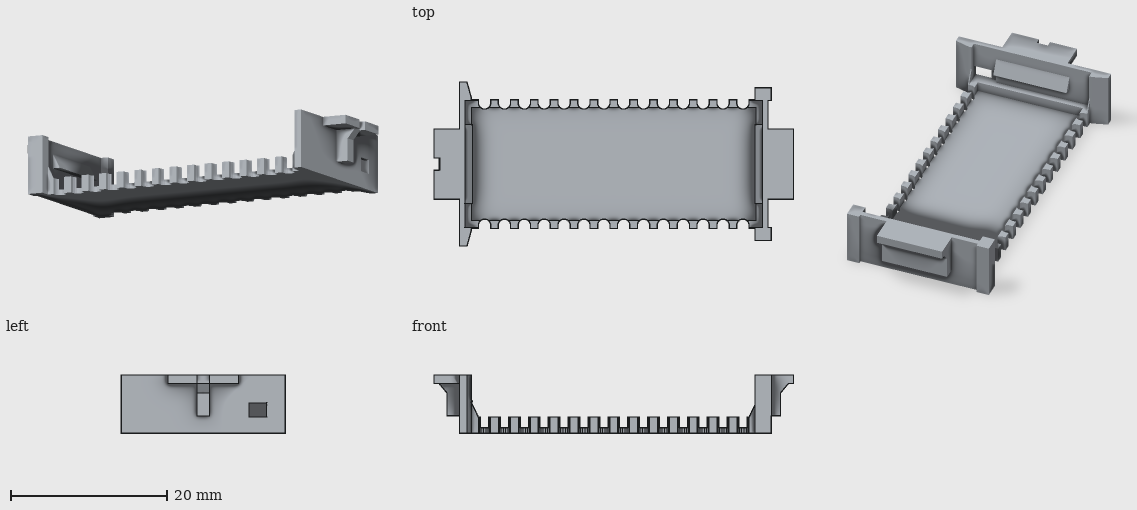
import cadquery as cq
import math

TOTAL_LENGTH = 46.0
TOTAL_WIDTH = 21.0
HEIGHT = 7.48
LEFT_TIP_X = -TOTAL_LENGTH / 2
RIGHT_TIP_X = LEFT_TIP_X + TOTAL_LENGTH

TRAY_HALF_WIDTH = 8.25
FLOOR_THICKNESS = 0.72
RIM_HEIGHT = 2.1
RIM_INNER_X = 18.2
RIM_INNER_Y = 7.24

SLOT_PITCH = 2.54
SLOTS_PER_SIDE = 14
TOOTH_WIDTH = 1.0
SLOT_WIDTH = SLOT_PITCH - TOOTH_WIDTH
SLOT_BOTTOM_Y = 7.05
SLOT_BOTTOM_FACETS = 8

WALL_THICKNESS = 0.7
WALL_INNER_X = 19.03
WALL_OUTER_X = WALL_INNER_X + WALL_THICKNESS
POST_INNER_Y = 8.1

LEFT_POST_INNER_X = -18.2
LEFT_POST_END_WIDTH = 0.98
LEFT_POST_TAPER_START_Y = 8.5

RIGHT_POST_INNER_X = 18.05
RIGHT_POST_OUTER_X = 20.15
RIGHT_POST_OUTER_Y = 9.78

GUSSET_FOOT_X = RIM_INNER_X - 0.9
GUSSET_TOP_X = RIM_INNER_X
GUSSET_TOP_Z = 3.95

WEDGE_HALF_WIDTH = 5.05
WEDGE_DEPTH = 1.0
WEDGE_BOTTOM_Z = 4.0
WEDGE_TOP_Z = 5.85

TAB_WIDTH = 9.0
TAB_THICKNESS = 1.12
TAB_BOTTOM_Z = HEIGHT - TAB_THICKNESS
RIB_WIDTH = 1.54
RIB_BOTTOM_Z = 2.25
RIB_PROJECTION = 1.6
RIB_CHAMFER_REACH = 1.0
RIB_CHAMFER_DROP = 1.2
TAB_NOTCH_DEPTH = 0.76

WINDOW_Y_MIN = -8.1
WINDOW_Y_MAX = -5.86
WINDOW_Z_MAX = 3.9
WINDOW_LIP_THICKNESS = 0.25


def block(x_min, x_max, y_min, y_max, z_min, z_max):
    size = (x_max - x_min, y_max - y_min, z_max - z_min)
    return cq.Workplane("XY").box(*size, centered=False).translate((x_min, y_min, z_min))


def extrude_along_y(profile, y_min, y_max):
    """Extrude a closed XZ profile between two Y positions."""
    return profile.extrude(y_min - y_max).translate((0, y_min, 0))


def make_tray():
    tray = block(
        -WALL_INNER_X, WALL_INNER_X, -TRAY_HALF_WIDTH, TRAY_HALF_WIDTH, 0, RIM_HEIGHT
    )
    pocket = block(
        -RIM_INNER_X, RIM_INNER_X, -RIM_INNER_Y, RIM_INNER_Y, FLOOR_THICKNESS, RIM_HEIGHT
    )
    return tray.cut(pocket)


def make_lead_slots():
    """Slots with a faceted, nearly round bottom, open to the outer side of both long rims."""
    half_slot = SLOT_WIDTH / 2
    facet_angle = math.pi / SLOT_BOTTOM_FACETS
    corner_radius = half_slot / math.cos(facet_angle / 2)
    centre_y = SLOT_BOTTOM_Y + half_slot
    outline = [(-half_slot, TRAY_HALF_WIDTH)]
    for facet in range(SLOT_BOTTOM_FACETS):
        angle = math.pi + (facet + 0.5) * facet_angle
        corner_x = corner_radius * math.cos(angle)
        corner_y = centre_y + corner_radius * math.sin(angle)
        outline.append((corner_x, corner_y))
    outline.append((half_slot, TRAY_HALF_WIDTH))
    slot = cq.Workplane("XY").polyline(outline).close().extrude(RIM_HEIGHT)
    slot_pair = slot.union(slot.mirror("XZ"))
    slots = cq.Workplane("XY")
    for index in range(SLOTS_PER_SIDE):
        slot_x = (index - (SLOTS_PER_SIDE - 1) / 2) * SLOT_PITCH
        slots = slots.add(slot_pair.translate((slot_x, 0, 0)))
    return slots.combine()


def make_left_wall():
    half_width = TOTAL_WIDTH / 2
    wall = block(-WALL_OUTER_X, -WALL_INNER_X, -half_width, half_width, 0, HEIGHT)
    post = (
        cq.Workplane("XY")
        .moveTo(-WALL_OUTER_X, POST_INNER_Y)
        .lineTo(LEFT_POST_INNER_X, POST_INNER_Y)
        .lineTo(LEFT_POST_INNER_X, LEFT_POST_TAPER_START_Y)
        .lineTo(-WALL_OUTER_X + LEFT_POST_END_WIDTH, half_width)
        .lineTo(-WALL_OUTER_X, half_width)
        .close()
        .extrude(HEIGHT)
    )
    window = block(
        -WALL_OUTER_X, -WALL_INNER_X, WINDOW_Y_MIN, WINDOW_Y_MAX, RIM_HEIGHT, WINDOW_Z_MAX
    )
    relief = block(
        -WALL_OUTER_X + WINDOW_LIP_THICKNESS,
        -WALL_INNER_X,
        WINDOW_Y_MIN,
        -WEDGE_HALF_WIDTH,
        RIM_HEIGHT,
        WINDOW_Z_MAX,
    )
    return wall.cut(window).cut(relief).union(post).union(post.mirror("XZ"))


def make_right_wall():
    wall = block(WALL_INNER_X, WALL_OUTER_X, -POST_INNER_Y, POST_INNER_Y, 0, HEIGHT)
    post = block(
        RIGHT_POST_INNER_X, RIGHT_POST_OUTER_X, POST_INNER_Y, RIGHT_POST_OUTER_Y, 0, HEIGHT
    )
    return wall.union(post).union(post.mirror("XZ"))


def make_gussets():
    """Four gussets, one at each tray corner."""
    profile = cq.Workplane("XZ").polyline(
        [
            (GUSSET_FOOT_X, RIM_HEIGHT),
            (GUSSET_TOP_X, GUSSET_TOP_Z),
            (WALL_INNER_X, GUSSET_TOP_Z),
            (WALL_INNER_X, RIM_HEIGHT),
        ]
    ).close()
    gusset = extrude_along_y(profile, POST_INNER_Y, TRAY_HALF_WIDTH)
    right_pair = gusset.union(gusset.mirror("XZ"))
    return right_pair.union(right_pair.mirror("YZ"))


def make_wedges():
    """Flat-bottomed wedges that slope back to the wall towards the top."""
    profile = cq.Workplane("XZ").polyline(
        [
            (WALL_INNER_X, WEDGE_BOTTOM_Z),
            (WALL_INNER_X - WEDGE_DEPTH, WEDGE_BOTTOM_Z),
            (WALL_INNER_X, WEDGE_TOP_Z),
        ]
    ).close()
    wedge = extrude_along_y(profile, -WEDGE_HALF_WIDTH, WEDGE_HALF_WIDTH)
    return wedge.union(wedge.mirror("YZ"))


def make_rib(width):
    """Rib below the right-hand tab, spreading into the tab with a sloped face."""
    rib_x = WALL_OUTER_X + RIB_PROJECTION
    profile = (
        cq.Workplane("XZ")
        .moveTo(WALL_OUTER_X, RIB_BOTTOM_Z)
        .lineTo(rib_x, RIB_BOTTOM_Z)
        .lineTo(rib_x, TAB_BOTTOM_Z - RIB_CHAMFER_DROP)
        .lineTo(rib_x + RIB_CHAMFER_REACH, TAB_BOTTOM_Z)
        .lineTo(WALL_OUTER_X, TAB_BOTTOM_Z)
        .close()
    )
    return extrude_along_y(profile, -width / 2, width / 2)


def make_left_tab():
    """Notched tab carried by a narrow central rib."""
    half_width = TAB_WIDTH / 2
    half_notch = RIB_WIDTH / 2
    tab = block(LEFT_TIP_X, -WALL_OUTER_X, -half_width, half_width, TAB_BOTTOM_Z, HEIGHT)
    notch = block(
        LEFT_TIP_X, LEFT_TIP_X + TAB_NOTCH_DEPTH, -half_notch, half_notch, TAB_BOTTOM_Z, HEIGHT
    )
    return tab.cut(notch).union(make_rib(RIB_WIDTH).mirror("YZ"))


def make_right_tab():
    """Plain tab carried by a rib of the same width."""
    half_width = TAB_WIDTH / 2
    tab = block(WALL_OUTER_X, RIGHT_TIP_X, -half_width, half_width, TAB_BOTTOM_Z, HEIGHT)
    return tab.union(make_rib(TAB_WIDTH))


result = (
    make_tray()
    .cut(make_lead_slots())
    .union(make_left_wall())
    .union(make_right_wall())
    .union(make_gussets())
    .union(make_wedges())
    .union(make_left_tab())
    .union(make_right_tab())
)